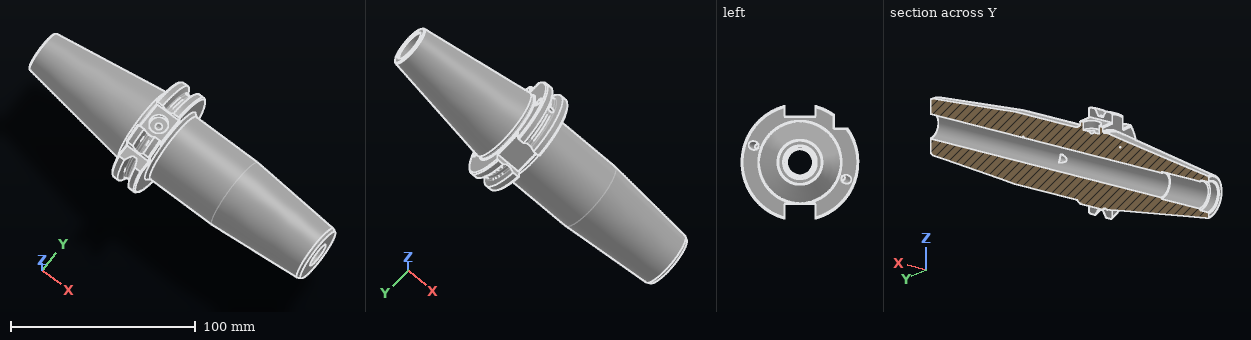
import cadquery as cq
import math

total_length = 188.4
gauge_x = 68.8
neck_start_x = 70.0
root_length = 0.4
flange_start_x = 71.5
flange_end_x = 87.5
groove_x = (flange_start_x + flange_end_x) / 2
collar_end_x = 89.5
nose_start_x = 131.5

gauge_radius = 22.2
taper_ratio = 7 / 24
taper_end_radius = gauge_radius - gauge_x * taper_ratio / 2
neck_radius = 21.9
flange_diameter = 63.5
flange_radius = flange_diameter / 2
collar_radius = 22.6
body_diameter = 42.0
body_radius = body_diameter / 2
nose_radius = 16.5
end_chamfer = 0.5
nose_chamfer_length = 1.9
nose_chamfer_depth = 1.0
rim_chamfer = 0.8

groove_floor_radius = 28.0
groove_floor_width = 3.0
groove_fillet = 1.1
groove_half_angle = math.radians(30)

mouth_radius = 8.7
mouth_chamfer = 0.5
mouth_depth = 5.7
thread_radius = 7.7
thread_chamfer = 0.5
thread_depth = 32.0
bore_radius = 7.0

slot_width = 16.5
upper_slot_floor = 25.0
lower_slot_floor = 22.8
cutout_chamfer = 0.5
notch_y = -18.5
notch_floor = 18.5

pocket_diameter = 10.5
pocket_depth = 4.5
pilot_diameter = 3.8
pilot_depth = 1.1

channel_entry_radius = 26.8
channel_diameter = 4.7
channel_tilt = 30
channel_angle = 20
radial_hole_diameter = 3.4


def revolve_around_x(outline):
    return outline.close().revolve(360, (0, 0, 0), (1, 0, 0))


def turned_body():
    outline = cq.Workplane("XY").polyline([
        (0, 0),
        (0, taper_end_radius - end_chamfer),
        (end_chamfer, taper_end_radius + end_chamfer * taper_ratio / 2),
        (gauge_x, gauge_radius),
        (neck_start_x, neck_radius),
        (flange_start_x - root_length, neck_radius),
        (flange_start_x, collar_radius),
        (flange_start_x, flange_radius - rim_chamfer),
        (flange_start_x + rim_chamfer, flange_radius),
        (flange_end_x - rim_chamfer, flange_radius),
        (flange_end_x, flange_radius - rim_chamfer),
        (flange_end_x, collar_radius),
        (collar_end_x, body_radius),
        (nose_start_x, body_radius),
        (total_length - nose_chamfer_length, nose_radius),
        (total_length, nose_radius - nose_chamfer_depth),
        (total_length, 0),
    ])
    return revolve_around_x(outline)


def v_groove():
    half_floor = groove_floor_width / 2
    half_mouth = half_floor + (flange_radius - groove_floor_radius) * math.tan(groove_half_angle)
    fillet_x = half_floor - groove_fillet * math.tan(groove_half_angle)
    fillet_centre_radius = groove_floor_radius + groove_fillet

    def fillet_point(side, angle):
        return (
            groove_x + side * (fillet_x + groove_fillet * math.cos(angle)),
            fillet_centre_radius - groove_fillet * math.sin(angle),
        )

    wall_angle = groove_half_angle
    floor_angle = math.pi / 2
    middle_angle = (wall_angle + floor_angle) / 2
    outline = (
        cq.Workplane("XY")
        .moveTo(groove_x - half_mouth, flange_radius)
        .lineTo(*fillet_point(-1, wall_angle))
        .threePointArc(fillet_point(-1, middle_angle), fillet_point(-1, floor_angle))
        .lineTo(*fillet_point(1, floor_angle))
        .threePointArc(fillet_point(1, middle_angle), fillet_point(1, wall_angle))
        .lineTo(groove_x + half_mouth, flange_radius)
    )
    return revolve_around_x(outline)


def bore():
    outline = cq.Workplane("XY").polyline([
        (0, 0),
        (0, mouth_radius + mouth_chamfer),
        (mouth_chamfer, mouth_radius),
        (mouth_depth, mouth_radius),
        (mouth_depth + thread_chamfer, thread_radius),
        (thread_depth, thread_radius),
        (thread_depth, bore_radius),
        (total_length, bore_radius),
        (total_length, 0),
    ])
    return revolve_around_x(outline)


def flange_cutout(plane, floor, sideways_start, sideways_end):
    """Cut inward to the floor across the whole flange, chamfering the floor at both flange faces."""
    outward = math.copysign(1, floor)
    chamfer_depth = floor - outward * cutout_chamfer
    outer = outward * flange_radius
    return (
        cq.Workplane(plane)
        .workplane(offset=sideways_start)
        .polyline([
            (flange_start_x, outer),
            (flange_start_x, chamfer_depth),
            (flange_start_x + cutout_chamfer, floor),
            (flange_end_x - cutout_chamfer, floor),
            (flange_end_x, chamfer_depth),
            (flange_end_x, outer),
        ])
        .close()
        .extrude(sideways_end - sideways_start)
    )


def flange_cutouts():
    half = slot_width / 2
    upper_slot = flange_cutout("XZ", upper_slot_floor, -half, half)
    lower_slot = flange_cutout("XZ", -lower_slot_floor, -half, half)
    notch_floor_cut = flange_cutout("XZ", notch_floor, -notch_y, flange_radius)
    notch_wall_cut = flange_cutout("XY", notch_y, notch_floor, flange_radius)
    return upper_slot.union(lower_slot).union(notch_floor_cut).union(notch_wall_cut)


def chip_pocket():
    pocket_floor = upper_slot_floor - pocket_depth
    pocket = (
        cq.Workplane("XY", origin=(groove_x, 0, pocket_floor))
        .circle(pocket_diameter / 2)
        .extrude(pocket_depth)
    )
    drill_point = cq.Solid.makeCone(
        pilot_diameter / 2, 0, pilot_depth, cq.Vector(groove_x, 0, pocket_floor), cq.Vector(0, 0, -1)
    )
    return pocket.union(cq.Workplane(drill_point))


def coolant_channel(side):
    """Channel from the flange face into the bore, with a radial hole from the V groove."""
    tilt = math.radians(channel_tilt)
    run = (channel_entry_radius - bore_radius) / math.tan(tilt)
    entry = cq.Vector(flange_start_x, -side * channel_entry_radius, 0)
    exit_point = cq.Vector(flange_start_x + run, -side * bore_radius, 0)
    direction = exit_point - entry
    lead = channel_diameter
    start = entry - direction.normalized() * lead
    channel = cq.Solid.makeCylinder(channel_diameter / 2, direction.Length + lead, start, direction)
    meeting_radius = channel_entry_radius - (groove_x - flange_start_x) * math.tan(tilt)
    radial = cq.Solid.makeCylinder(
        radial_hole_diameter / 2,
        flange_radius - meeting_radius,
        cq.Vector(groove_x, -side * meeting_radius, 0),
        cq.Vector(0, -side, 0),
    )
    return cq.Workplane(channel.fuse(radial)).rotate((0, 0, 0), (1, 0, 0), channel_angle)


result = turned_body()
for cutter in (v_groove(), bore(), flange_cutouts(), chip_pocket()):
    result = result.cut(cutter)
for side in (1, -1):
    result = result.cut(coolant_channel(side))